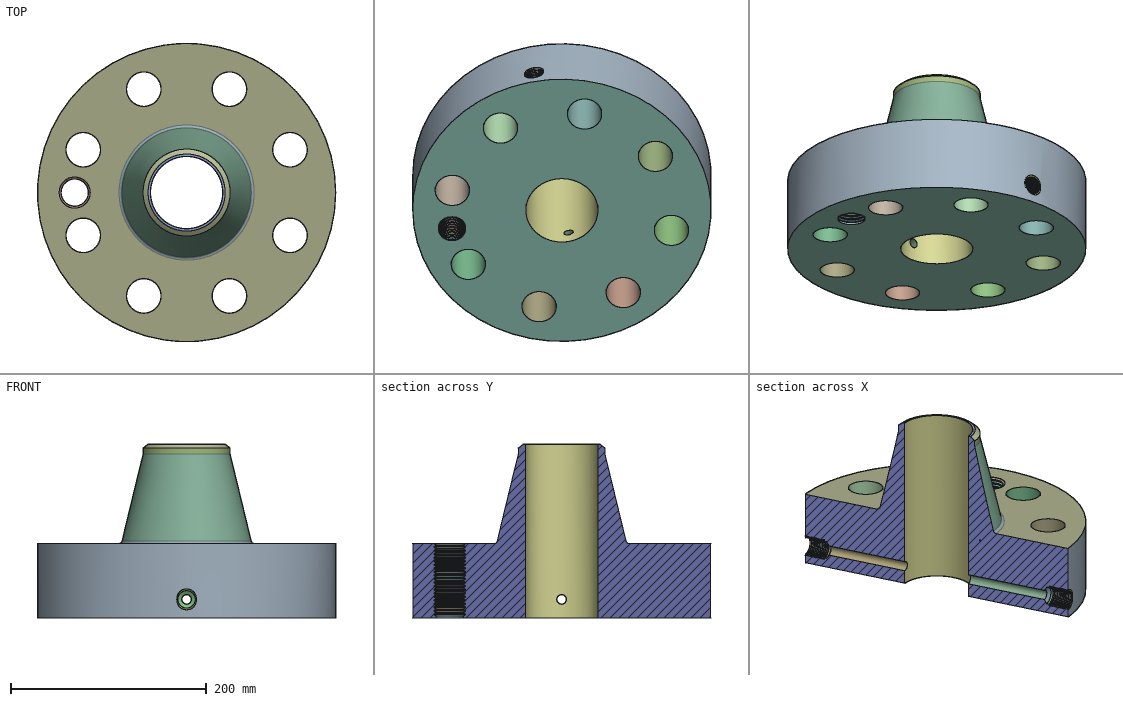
import cadquery as cq
import math

inch = 25.4

flange_diameter = 304.8
flange_thickness = 76.2
overall_height = 177.67

hub_base_diameter = 133.35
pipe_outer_diameter = 88.9
bore_diameter = 73.66
hub_fillet_radius = 3.0
weld_land_width = 2.54
weld_bevel_angle = 37.5
neck_length = 10.0

bolt_circle_diameter = 228.6
bolt_hole_diameter = 35.0
bolt_hole_count = 8

jack_minor_diameter = 27.64
jack_major_diameter = 31.75
jack_pitch = inch / 7

tap_height = 19.05
tap_drill_diameter = 9.525
tap_minor_diameter = 17.8
tap_major_diameter = 21.34
tap_pitch = inch / 14
tap_thread_depth = 25.0
tap_point_angle = 118.0

groove_opening_fraction = 0.8
groove_root_fraction = 0.15

flange_radius = flange_diameter / 2
bore_radius = bore_diameter / 2
bolt_circle_radius = bolt_circle_diameter / 2


def make_body():
    """Revolve the flange, hub and weld neck around Z and round the hub base."""
    pipe_radius = pipe_outer_diameter / 2
    land_radius = bore_radius + weld_land_width
    bevel_height = (pipe_radius - land_radius) * math.tan(math.radians(weld_bevel_angle))
    body = (
        cq.Workplane("XZ")
        .moveTo(bore_radius, 0)
        .lineTo(flange_radius, 0)
        .lineTo(flange_radius, flange_thickness)
        .lineTo(hub_base_diameter / 2, flange_thickness)
        .lineTo(pipe_radius, overall_height - neck_length)
        .lineTo(pipe_radius, overall_height - bevel_height)
        .lineTo(land_radius, overall_height)
        .lineTo(bore_radius, overall_height)
        .close()
        .revolve(360, (0, 0, 0), (0, 1, 0))
    )
    hub_base = cq.selectors.RadiusNthSelector(-2)
    return body.edges("%CIRCLE").edges(hub_base).fillet(hub_fillet_radius)


def make_bolt_holes():
    """Through holes straddling the X and Y axes."""
    half_pitch_angle = 180 / bolt_hole_count
    return (
        cq.Workplane("XY")
        .polarArray(bolt_circle_radius, half_pitch_angle, 360, bolt_hole_count)
        .circle(bolt_hole_diameter / 2)
        .extrude(flange_thickness)
    )


def make_threaded_hole(minor_diameter, major_diameter, pitch, depth, mouth):
    """Threaded hole along Z from z = mouth down by depth, its thread a stack of ring grooves."""
    minor_radius = minor_diameter / 2
    major_radius = major_diameter / 2
    half_opening = groove_opening_fraction * pitch / 2
    half_root = groove_root_fraction * pitch / 2
    groove_count = math.floor(depth / pitch)
    outline = cq.Workplane("XZ").moveTo(0, mouth).lineTo(major_radius, mouth)
    outline = outline.lineTo(major_radius, mouth - half_root).lineTo(minor_radius, mouth - half_opening)
    for groove in range(1, groove_count):
        center = mouth - groove * pitch
        outline = (
            outline.lineTo(minor_radius, center + half_opening)
            .lineTo(major_radius, center + half_root)
            .lineTo(major_radius, center - half_root)
            .lineTo(minor_radius, center - half_opening)
        )
    outline = outline.lineTo(minor_radius, mouth - depth).lineTo(0, mouth - depth).close()
    return outline.revolve(360, (0, 0, 0), (0, 1, 0))


def make_jack_screw_hole():
    """Threaded through hole on the -X side of the flange."""
    hole = make_threaded_hole(
        jack_minor_diameter, jack_major_diameter, jack_pitch, flange_thickness, flange_thickness
    )
    return hole.translate((-bolt_circle_radius, 0, 0))


def make_pressure_tap(angle):
    """Tap opening on the rim and drilled on into the bore, turned about Z from the -Y side."""
    drill_radius = tap_drill_diameter / 2
    minor_radius = tap_minor_diameter / 2
    point_height = (minor_radius - drill_radius) / math.tan(math.radians(tap_point_angle / 2))
    thread_end = flange_radius - tap_thread_depth
    drilling = (
        cq.Workplane("XZ")
        .lineTo(drill_radius, 0)
        .lineTo(drill_radius, thread_end - point_height)
        .lineTo(minor_radius, thread_end)
        .lineTo(0, thread_end)
        .close()
        .revolve(360, (0, 0, 0), (0, 1, 0))
    )
    threaded_hole = make_threaded_hole(
        tap_minor_diameter, tap_major_diameter, tap_pitch, tap_thread_depth, flange_radius
    )
    tap = drilling.union(threaded_hole)
    tap = tap.rotate((0, 0, 0), (1, 0, 0), 90).translate((0, 0, tap_height))
    return tap.rotate((0, 0, 0), (0, 0, 1), angle)


flange = make_body().cut(make_bolt_holes()).cut(make_jack_screw_hole())
for tap_angle in (0, 180):
    flange = flange.cut(make_pressure_tap(tap_angle))
result = flange.solids()